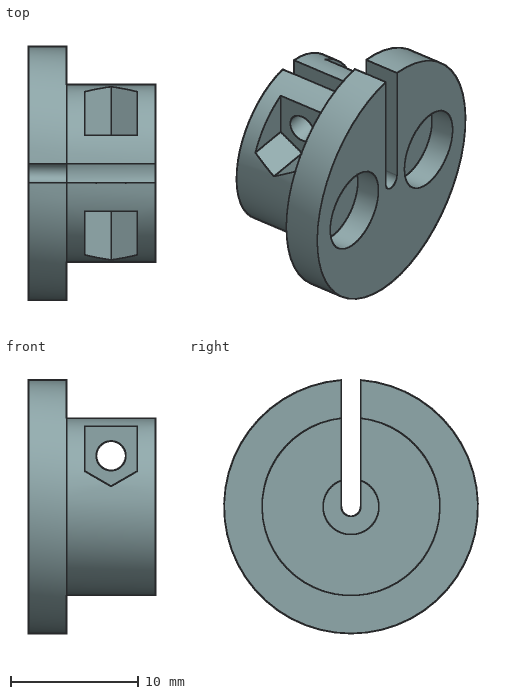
import cadquery as cq
import math

flange_diameter = 19.99
flange_thickness = 3.0
hub_diameter = 14.0
hub_length = 7.0
bore_diameter = 4.4
total_length = flange_thickness + hub_length

slot_width = 1.5

pocket_diameter = 6.5
pocket_depth = 2.0
pocket_offset = flange_diameter / 4

screw_diameter = 2.3
screw_x = flange_thickness + hub_length / 2
screw_z = 4.0
nut_width = 4.15
seat_floor_y = 3.0


def make_body():
    flange = cq.Workplane("YZ").circle(flange_diameter / 2).extrude(flange_thickness)
    hub = cq.Workplane("YZ").circle(hub_diameter / 2).extrude(total_length)
    bore = (
        cq.Workplane("YZ", origin=(flange_thickness, 0, 0))
        .circle(bore_diameter / 2)
        .extrude(hub_length)
    )
    return flange.union(hub).cut(bore)


def make_slot():
    slot_height = flange_diameter / 2
    straight = (
        cq.Workplane("YZ")
        .center(0, slot_height / 2)
        .rect(slot_width, slot_height)
        .extrude(total_length)
    )
    rounded_end = cq.Workplane("YZ").circle(slot_width / 2).extrude(total_length)
    return straight.union(rounded_end)


def make_face_pockets():
    return (
        cq.Workplane("YZ")
        .pushPoints([(-pocket_offset, 0), (pocket_offset, 0)])
        .circle(pocket_diameter / 2)
        .extrude(pocket_depth)
    )


def make_screw_hole():
    return (
        cq.Workplane("XZ")
        .center(screw_x, screw_z)
        .circle(screw_diameter / 2)
        .extrude(hub_diameter / 2, both=True)
    )


def make_nut_seat(side):
    """Seat with a half-hexagon bottom, open upwards; side is +1 or -1 along Y."""
    half_width = nut_width / 2
    corner_radius = half_width / math.cos(math.radians(30))
    shoulder_z = screw_z - corner_radius / 2
    top_z = hub_diameter / 2
    seat_depth = hub_diameter / 2 - seat_floor_y
    return (
        cq.Workplane("XZ", origin=(0, side * seat_floor_y, 0))
        .moveTo(screw_x, screw_z - corner_radius)
        .lineTo(screw_x + half_width, shoulder_z)
        .lineTo(screw_x + half_width, top_z)
        .lineTo(screw_x - half_width, top_z)
        .lineTo(screw_x - half_width, shoulder_z)
        .close()
        .extrude(-side * seat_depth)
    )


result = make_body().cut(make_slot()).cut(make_face_pockets()).cut(make_screw_hole())
for seat_side in (-1, 1):
    result = result.cut(make_nut_seat(seat_side))